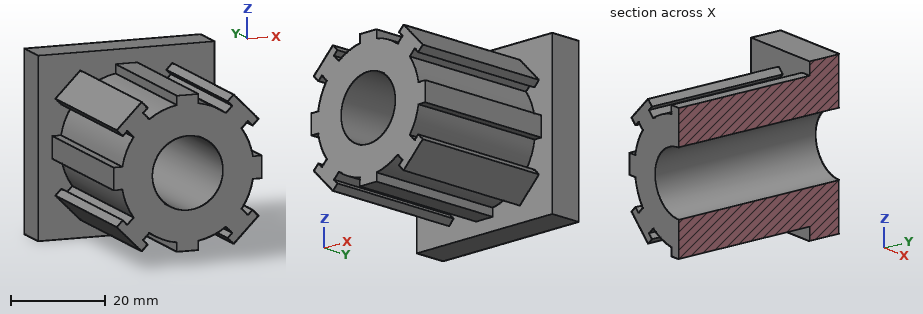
import cadquery as cq

flange_side = 40.0
flange_thickness = 8.0
total_length = 43.0
barrel_length = total_length - flange_thickness

bore_diameter = 16.0
core_diameter = 30.0
rib_width = 4.9
rib_tip_radius = 16.8

stem_width = 5.07
bar_width = 8.0
bar_tip_radius = 18.75

front_y = -total_length / 2
flange_front_y = front_y + barrel_length


def section_at(y):
    """Sketching plane facing -Y at the given position along the axis."""
    return cq.Workplane("XZ", origin=(0, y, 0))


def radial_block(width, inner_radius, outer_radius, angle):
    """Block along the barrel, between two radii, turned about the axis."""
    block = (
        section_at(flange_front_y)
        .center((inner_radius + outer_radius) / 2, 0)
        .rect(outer_radius - inner_radius, width)
        .extrude(barrel_length)
    )
    return block.rotate((0, 0, 0), (0, 1, 0), angle)


flange = section_at(total_length / 2).rect(flange_side, flange_side).extrude(flange_thickness)
core = section_at(flange_front_y).circle(core_diameter / 2).extrude(barrel_length)
body = flange.union(core)

root_radius = bore_diameter / 2
for quarter_turn in range(4):
    straight_angle = 90 * quarter_turn
    diagonal_angle = straight_angle + 45
    body = body.union(radial_block(rib_width, root_radius, rib_tip_radius, straight_angle))
    body = body.union(radial_block(stem_width, root_radius, bar_tip_radius, diagonal_angle))
    body = body.union(radial_block(bar_width, rib_tip_radius, bar_tip_radius, diagonal_angle))

bore = section_at(total_length / 2).circle(bore_diameter / 2).extrude(total_length)
result = body.cut(bore)